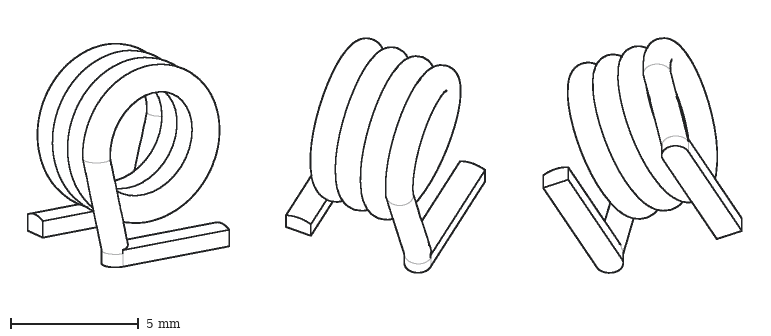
import cadquery as cq

WIRE_DIAMETER = 1.08
COIL_OUTER_DIAMETER = 6.54
PITCH = 1.09
TURNS = 3.5
OVERALL_HEIGHT = 7.51

OVERALL_LENGTH = 6.02
FOOT_WIDTH = 1.09
FOOT_REACH = 2.755
LEG_BASE_HEIGHT = 0.55
FOOT_EDGE_HEIGHT = 0.68
FOOT_CROWN_HEIGHT = 0.81

WIRE_RADIUS = WIRE_DIAMETER / 2
COIL_RADIUS = COIL_OUTER_DIAMETER / 2 - WIRE_RADIUS
COIL_LENGTH = PITCH * TURNS
AXIS_HEIGHT = OVERALL_HEIGHT - COIL_OUTER_DIAMETER / 2
FOOT_RADIUS = FOOT_WIDTH / 2
FOOT_X = -(OVERALL_LENGTH - FOOT_WIDTH) / 2
FOOT_ROUND_Y = FOOT_REACH - FOOT_RADIUS


def make_coil():
    """Wind the wire about Z, then turn it so that Z becomes X and X becomes Y."""
    helix = cq.Wire.makeHelix(PITCH, COIL_LENGTH, COIL_RADIUS)
    coil = (
        cq.Workplane("XZ")
        .center(COIL_RADIUS, 0)
        .circle(WIRE_RADIUS)
        .sweep(helix, isFrenet=True)
    )
    coil = coil.rotate((0, 0, 0), (1, 1, 1), 120)
    return coil.translate((-COIL_LENGTH / 2, 0, AXIS_HEIGHT))


def make_leg():
    """Slanted round leg from the rounded end of the foot up to the wire end."""
    return (
        cq.Workplane("XY")
        .workplane(offset=LEG_BASE_HEIGHT)
        .center(FOOT_X, FOOT_ROUND_Y)
        .circle(FOOT_RADIUS)
        .workplane(offset=AXIS_HEIGHT - LEG_BASE_HEIGHT)
        .center(-COIL_LENGTH / 2 - FOOT_X, COIL_RADIUS - FOOT_ROUND_Y)
        .circle(WIRE_RADIUS)
        .loft(ruled=True)
    )


def make_foot():
    """Bar with a crowned top, and the round pad that carries the leg."""
    bar = (
        cq.Workplane("XZ", origin=(FOOT_X, FOOT_ROUND_Y, 0))
        .moveTo(-FOOT_RADIUS, 0)
        .lineTo(FOOT_RADIUS, 0)
        .lineTo(FOOT_RADIUS, FOOT_EDGE_HEIGHT)
        .threePointArc((0, FOOT_CROWN_HEIGHT), (-FOOT_RADIUS, FOOT_EDGE_HEIGHT))
        .close()
        .extrude(FOOT_ROUND_Y + FOOT_REACH)
    )
    pad = (
        cq.Workplane("XY", origin=(FOOT_X, FOOT_ROUND_Y, 0))
        .circle(FOOT_RADIUS)
        .extrude(LEG_BASE_HEIGHT)
    )
    return bar.union(pad)


terminal = make_foot().union(make_leg())
opposite_terminal = terminal.rotate((0, 0, 0), (0, 0, 1), 180)
result = make_coil().union(terminal).union(opposite_terminal)